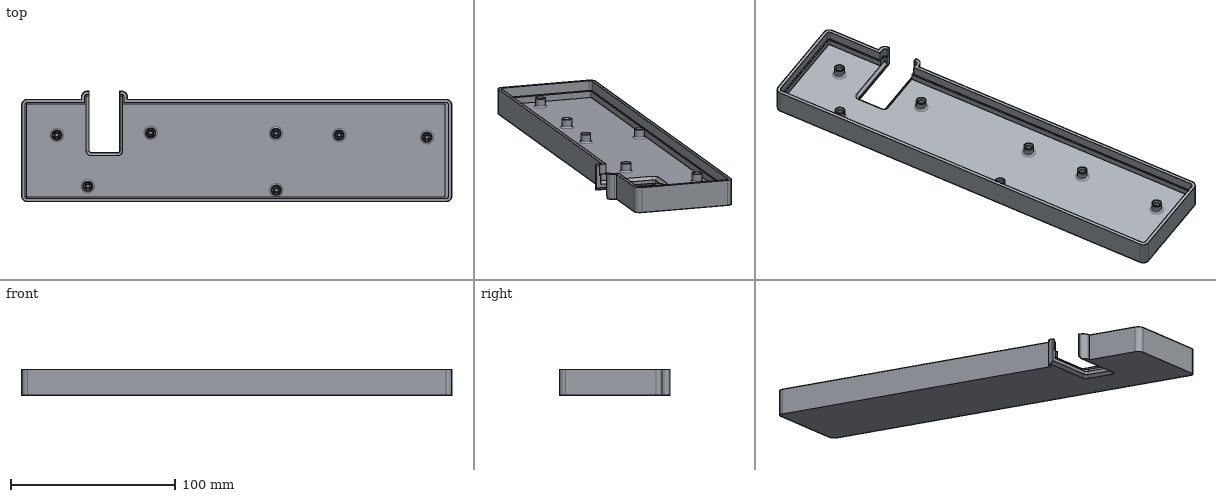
import cadquery as cq

length = 261.8
width = 62.3
height = 15.7
corner_radius = 3.7
floor_thickness = 5.8

lip_thickness = 2.0
wall_thickness = 3.0
end_wall_thickness = 4.2
lip_depth = 6.0

slot_left = 41.0
slot_width = 18.5
slot_front = 29.9
slot_corner_radius = 1.3
slot_bevel = 1.8
bevel_angle = 45
tab_length = 5.0

slot_right = slot_left + slot_width
back = width + tab_length
tab_inner_left = slot_left - slot_bevel
tab_inner_right = slot_right + slot_bevel
tab_left = tab_inner_left - wall_thickness
tab_right = tab_inner_right + wall_thickness

post_diameter = 6.0
post_base_diameter = 8.0
hole_mouth_diameter = 5.2
hole_diameter = 3.7
pilot_diameter = 2.15
post_height = 5.2
hole_depth = 4.0
post_positions = [
    (21.5, 40.5),
    (78.5, 42.0),
    (154.8, 41.6),
    (193.2, 40.5),
    (246.7, 39.3),
    (40.3, 9.5),
    (155.0, 7.0),
]


def block(left, right, front, rear, bottom, top):
    """Axis-aligned box given by its six limits."""
    size = (right - left, rear - front, top - bottom)
    return cq.Workplane("XY").box(*size, centered=False).translate((left, front, bottom))


def make_body():
    """Solid rounded slab with the tab block joined to its back edge."""
    slab = block(0, length, 0, width, 0, height).edges("|Z").fillet(corner_radius)
    tabs = block(tab_left, tab_right, slot_front, back, 0, height)
    tabs = tabs.edges("|Z and >Y").fillet(corner_radius)
    return slab.union(tabs)


def make_hollow(wall, end_wall, bottom):
    """Space left inside walls of one thickness, from a bottom level up to the rim."""
    tray = block(wall, length - end_wall, wall, width - wall, bottom, height)
    tabs = block(tab_left + wall, tab_right - wall, slot_front, back - wall, bottom, height)
    inner_radius = corner_radius - wall
    tray = tray.edges("|Z").fillet(inner_radius)
    tabs = tabs.edges("|Z and >Y").fillet(inner_radius)
    return tray.union(tabs)


def make_slot():
    """Through slot whose floor edge is bevelled above and below."""
    opening = block(slot_left, slot_right, slot_front, back, 0, height)
    opening = opening.edges("|Z and <Y").fillet(slot_corner_radius)
    profile = opening.faces("<Z").wires()

    bevel_bottom = floor_thickness - slot_bevel
    bevel = profile.toPending().extrude(slot_bevel, taper=-bevel_angle, combine=False)
    bevel = bevel.translate((0, 0, bevel_bottom))
    bevel = bevel.intersect(block(0, length, 0, back - wall_thickness, 0, height))

    underside = profile.toPending().extrude(slot_bevel, taper=-bevel_angle, combine=False)
    underside = underside.mirror("XY").translate((0, 0, slot_bevel))
    return opening.union(bevel).union(underside)


def make_post():
    """Screw post with a filleted foot and a countersunk hole that narrows to a pilot ending at the floor."""
    flare = (post_base_diameter - post_diameter) / 2
    countersink = (hole_mouth_diameter - hole_diameter) / 2
    profile = (
        cq.Workplane("XZ")
        .moveTo(0, 0)
        .lineTo(post_base_diameter / 2, 0)
        .radiusArc((post_diameter / 2, flare), flare)
        .lineTo(post_diameter / 2, post_height)
        .lineTo(hole_mouth_diameter / 2, post_height)
        .lineTo(hole_diameter / 2, post_height - countersink)
        .lineTo(hole_diameter / 2, post_height - hole_depth)
        .lineTo(pilot_diameter / 2, post_height - hole_depth)
        .lineTo(pilot_diameter / 2, 0)
        .lineTo(0, 0)
        .close()
    )
    return profile.revolve(360, (0, 0, 0), (0, 1, 0))


upper_hollow = make_hollow(lip_thickness, lip_thickness, height - lip_depth)
lower_hollow = make_hollow(wall_thickness, end_wall_thickness, floor_thickness)
result = make_body().cut(upper_hollow).cut(lower_hollow).cut(make_slot())
post = make_post()
for x, y in post_positions:
    result = result.union(post.translate((x, y, floor_thickness)))